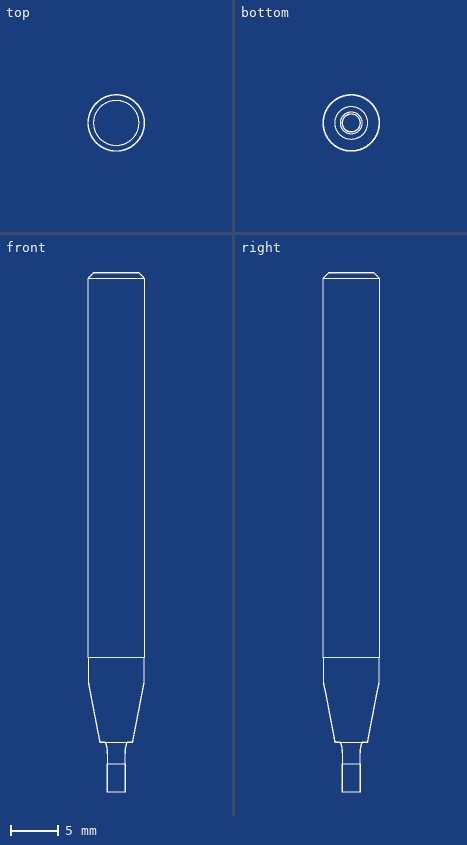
import cadquery as cq

cutter_top = 2.95
taper_bottom = 3.8
taper_top = 4.3
cone_bottom = 5.3
cone_top = 11.55
shank_bottom = 14.25
tool_length = 55.0

cutter_diameter = 1.9
neck_diameter = 1.85
taper_diameter = 1.9
flare_diameter = 2.3
cone_small_diameter = 3.45
collar_diameter = 5.9
shank_diameter = 6.0

bevel_height = 0.6
bevel_width = 0.6


def make_cutter():
    """Plain cylindrical cutting tip."""
    return cq.Workplane("XY").circle(cutter_diameter / 2).extrude(cutter_top)


def make_shank():
    """Neck, taper, flare, cone, collar and bevelled shank in one turned body."""
    neck_radius = neck_diameter / 2
    taper_radius = taper_diameter / 2
    flare_radius = flare_diameter / 2
    shank_radius = shank_diameter / 2

    flare_height = cone_bottom - taper_top
    flare_growth = flare_radius - taper_radius
    flare_curve_radius = (flare_height**2 + flare_growth**2) / (2 * flare_growth)

    profile = (
        cq.Workplane("XZ")
        .moveTo(0, cutter_top)
        .lineTo(neck_radius, cutter_top)
        .lineTo(neck_radius, taper_bottom)
        .lineTo(taper_radius, taper_top)
        .radiusArc((flare_radius, cone_bottom), flare_curve_radius)
        .lineTo(cone_small_diameter / 2, cone_bottom)
        .lineTo(collar_diameter / 2, cone_top)
        .lineTo(collar_diameter / 2, shank_bottom)
        .lineTo(shank_radius, shank_bottom)
        .lineTo(shank_radius, tool_length - bevel_height)
        .lineTo(shank_radius - bevel_width, tool_length)
        .lineTo(0, tool_length)
        .close()
    )
    return profile.revolve(360, (0, 0), (0, 1))


cutter = make_cutter()
shank = make_shank()

result = cq.Compound.makeCompound([cutter.val(), shank.val()])